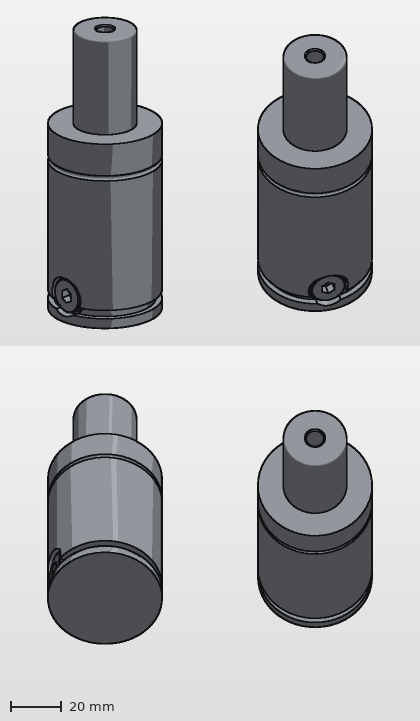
import cadquery as cq
import math

total_height = 118.0
body_diameter = 45.0
body_height = 78.0
rod_diameter = 25.0
rod_edge_radius = 1.0

base_flange_height = 4.1
base_groove_top = 7.7
base_groove_diameter = 40.1
ring_groove_z = 63.5
ring_groove_radius = 1.1

hole_diameter = 6.8
hole_mouth_diameter = 8.0
hole_depth = 20.1
drill_point_angle = 118.0

plug_z = 10.6
pocket_diameter = 16.0
pocket_floor_distance = 18.0
plug_diameter = 14.0
plug_face_distance = 21.0
plug_chamfer = 0.5
hex_across_flats = 5.1
hex_depth = 4.0

body_radius = body_diameter / 2


def front_plane(distance):
    """Plane facing -Y through the plug axis, at a distance from the cylinder axis."""
    return cq.Workplane(cq.Plane(origin=(0, -distance, plug_z), xDir=(1, 0, 0), normal=(0, -1, 0)))


def make_cylinder_body():
    """Stepped body with a square groove near the base and a round groove near the top."""
    groove_radius = base_groove_diameter / 2
    return (
        cq.Workplane("XZ")
        .moveTo(0, 0)
        .lineTo(body_radius, 0)
        .lineTo(body_radius, base_flange_height)
        .lineTo(groove_radius, base_flange_height)
        .lineTo(groove_radius, base_groove_top)
        .lineTo(body_radius, base_groove_top)
        .lineTo(body_radius, ring_groove_z - ring_groove_radius)
        .threePointArc(
            (body_radius - ring_groove_radius, ring_groove_z),
            (body_radius, ring_groove_z + ring_groove_radius),
        )
        .lineTo(body_radius, body_height)
        .lineTo(0, body_height)
        .close()
        .revolve(360, (0, 0), (0, 1))
    )


def make_rod():
    """Piston rod with a rounded end."""
    return (
        cq.Workplane("XY")
        .workplane(offset=body_height)
        .circle(rod_diameter / 2)
        .extrude(total_height - body_height)
        .faces(">Z")
        .edges()
        .fillet(rod_edge_radius)
    )


def make_rod_hole():
    """Blind drilled hole with a 45-degree countersink and a conical bottom."""
    hole_radius = hole_diameter / 2
    mouth_radius = hole_mouth_diameter / 2
    hole_bottom = total_height - hole_depth
    tip_length = hole_radius / math.tan(math.radians(drill_point_angle / 2))
    return (
        cq.Workplane("XZ")
        .moveTo(0, total_height)
        .lineTo(mouth_radius, total_height)
        .lineTo(hole_radius, total_height - (mouth_radius - hole_radius))
        .lineTo(hole_radius, hole_bottom)
        .lineTo(0, hole_bottom - tip_length)
        .close()
        .revolve(360, (0, 0), (0, 1))
    )


def make_plug_pocket():
    """Round pocket cut inward from the side of the body."""
    return (
        front_plane(pocket_floor_distance)
        .circle(pocket_diameter / 2)
        .extrude(body_radius - pocket_floor_distance)
    )


def make_plug():
    """Round plug standing on the pocket floor, with a hexagonal socket."""
    hex_across_corners = hex_across_flats / math.cos(math.radians(30))
    plug = (
        front_plane(pocket_floor_distance)
        .circle(plug_diameter / 2)
        .extrude(plug_face_distance - pocket_floor_distance)
        .faces("<Y")
        .chamfer(plug_chamfer)
    )
    socket = (
        front_plane(plug_face_distance)
        .transformed(rotate=(0, 0, 90))
        .polygon(6, hex_across_corners)
        .extrude(-hex_depth)
    )
    return plug, socket


plug, socket = make_plug()
result = make_cylinder_body().union(make_rod()).cut(make_rod_hole())
result = result.cut(make_plug_pocket()).union(plug).cut(socket)